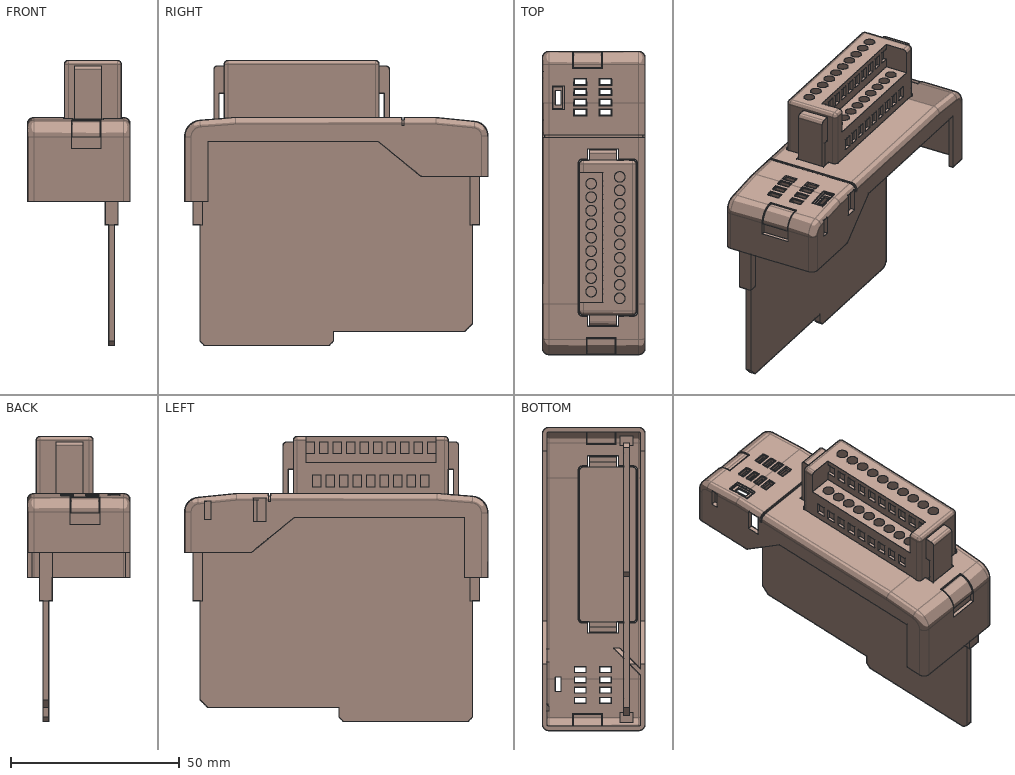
import cadquery as cq

HOUSING_WIDTH = 30.5
HOUSING_LENGTH = 90.0
ROOF_Z = 67.7
WALL = 1.35
FRONT_BOTTOM_Z = 42.75
REAR_BOTTOM_Z = 50.1
SIDE_BOTTOM_Z = 60.6
FRONT_END_LENGTH = 7.0
RAMP_START_Y = 57.4
RAMP_END_Y = 70.2
FRONT_SLOPE_Y = 15.0
REAR_SLOPE_Y = 74.6
FRONT_DROP = 1.2
REAR_DROP = 1.5
FRONT_RADIUS = 4.95
REAR_RADIUS = 4.3
EDGE_RADIUS = 2.0
OPENING_BOTTOM_Z = ROOF_Z - 2 * WALL

GROOVE_DEPTH = 0.7
GROOVE_Y = 64.8
GROOVE_WIDTH = 0.6
GROOVE_BOTTOM_Z = 65.25

NOTCH_WIDTH = 8.8
NOTCH_DEPTH = 1.1
NOTCH_BOTTOM_Z = 58.5
NOTCH_LENGTH = 5.1
FRONT_NOTCH_X = 13.05
REAR_NOTCH_X = 9.0
TAB_BOTTOM_Z = 61.9
TAB_SINK = 0.2
TAB_GAP = 0.3

WINDOW_COLUMNS_X = (11.25, 18.7)
WINDOW_ROWS = 4
WINDOW_SPAN = 9.1
WINDOW_PITCH = WINDOW_SPAN / (WINDOW_ROWS - 1)
WINDOW_ROWS_Y = 76.4
WINDOW_LENGTH = 3.3
WINDOW_HEIGHT = 1.6
WINDOW_CHAMFER = 0.3
CHAMFER_ANGLE = 45

RIM_DEPTH = 0.4
SWITCH_Y = 76.2
SWITCH_RIM_X = (3.0, 6.6)
SWITCH_RIM_LENGTH = 6.9
SWITCH_FLOOR_X = (3.2, 6.0)
SWITCH_FLOOR_LENGTH = 6.3
SWITCH_SLOT_X = (3.9, 5.5)
SWITCH_SLOT_LENGTH = 4.2

SIDE_SLOTS = ((65.8, 69.6, 59.4, 66.3), (82.1, 84.1, 59.9, 65.4))

WEB_X = 21.1
WEB_Y = 65.4
WEB_WIDTH = 1.9

BOARD_X = 24.1
BOARD_THICKNESS = 1.8
BOARD_FRONT_Y = 4.6
BOARD_REAR_Y = 85.4
BOARD_TOP_Z = 65.7
BOARD_STEP_Y = 44.2
BOARD_STEP_Z = 4.1
BOARD_CHAMFER = 1.35
BOARD_REAR_CHAMFER = 2.3

GUIDE_WIDTH = 3.9
GUIDE_LENGTH = 2.9
GUIDE_INSET = 2.5
GUIDE_BOTTOM_Z = 35.8

BLOCK_X = 11.0
BLOCK_WIDTH = 16.9
BLOCK_Y = 34.7
BLOCK_LENGTH = 46.0
BLOCK_TOP_Z = 84.6
BLOCK_RADIUS = 1.2
STEP_WIDTH = 6.9
STEP_LENGTH = 38.5
STEP_Z = 76.9
TERMINAL_DIAMETER = 3.15
TERMINAL_DEPTH = 4.5
LOWER_TERMINALS = 9
UPPER_TERMINALS = 10
UPPER_SPAN = 36.0
TERMINAL_PITCH = UPPER_SPAN / (UPPER_TERMINALS - 1)
LOWER_TERMINAL_X = 14.5
UPPER_TERMINAL_X = 22.95
WIRE_SLOT_WIDTH = 2.5
WIRE_SLOT_HEIGHT = 3.5
WIRE_SLOT_DEPTH = 0.9
LOWER_SLOT_DROP = 3.8
UPPER_SLOT_DROP = 1.6

CLIP_X = 13.95
CLIP_WIDTH = 8.1
CLIP_SPAN = 52.1
CLIP_THICKNESS = 1.6
CLIP_TOP_Z = 83.0
CLIP_ROOT_Z = 74.8
CLIP_RADIUS = 1.1

BLOCK_CLEARANCE = 0.3
CLIP_SIDE_CLEARANCE = 0.5
CLIP_END_CLEARANCE = 0.2


def box(x0, x1, y0, y1, z0, z1):
    """Box between two limits on each axis."""
    return cq.Workplane("XY").box(x1 - x0, y1 - y0, z1 - z0, centered=False).translate((x0, y0, z0))


def centred_y(x0, x1, middle_y, length, z0, z1):
    """Box with its Y extent given by a middle and a length."""
    return box(x0, x1, middle_y - length / 2, middle_y + length / 2, z0, z1)


def row_positions(middle, pitch, count):
    """Evenly spaced positions about a middle."""
    return [middle + (i - (count - 1) / 2) * pitch for i in range(count)]


def rounded_envelope(inset):
    """Rounded outside shape of the housing, reaching down to Z = 0, moved inwards by `inset`."""
    front = inset
    rear = HOUSING_LENGTH - inset
    top = ROOF_Z - inset
    body = (
        cq.Workplane("YZ", origin=(inset, 0, 0))
        .polyline([
            (front, 0),
            (front, top - FRONT_DROP),
            (FRONT_SLOPE_Y, top),
            (REAR_SLOPE_Y, top),
            (rear, top - REAR_DROP),
            (rear, 0),
        ])
        .close()
        .extrude(HOUSING_WIDTH - 2 * inset)
    )
    body = body.faces("<Y").edges(">Z").fillet(FRONT_RADIUS - inset)
    body = body.faces(">Y").edges(">Z").fillet(REAR_RADIUS - inset)
    return body.faces("<X or >X").edges("not <Z").fillet(EDGE_RADIUS - inset)


def lower_outline():
    """Space below the stepped lower edge of the housing."""
    return (
        cq.Workplane("YZ")
        .polyline([
            (0, 0),
            (0, FRONT_BOTTOM_Z),
            (FRONT_END_LENGTH, FRONT_BOTTOM_Z),
            (FRONT_END_LENGTH, SIDE_BOTTOM_Z),
            (RAMP_START_Y, SIDE_BOTTOM_Z),
            (RAMP_END_Y, REAR_BOTTOM_Z),
            (HOUSING_LENGTH, REAR_BOTTOM_Z),
            (HOUSING_LENGTH, 0),
        ])
        .close()
        .extrude(HOUSING_WIDTH)
    )


def diagonal_web():
    """Upright web at 45 degrees, from the roof groove to the +X wall."""
    reach = HOUSING_WIDTH - WALL / 2 - WEB_X
    return (
        cq.Workplane("XY")
        .polyline([
            (WEB_X, WEB_Y),
            (WEB_X + reach, WEB_Y + reach),
            (WEB_X + reach, WEB_Y + reach - WEB_WIDTH),
            (WEB_X + WEB_WIDTH, WEB_Y),
        ])
        .close()
        .extrude(ROOF_Z - WALL / 2)
    )


def board_guides():
    """Two legs under the roof that grip the front and rear edges of the board."""
    middle_x = BOARD_X + BOARD_THICKNESS / 2
    guides = cq.Workplane("XY")
    for start_y in (GUIDE_INSET, HOUSING_LENGTH - GUIDE_INSET - GUIDE_LENGTH):
        guides = guides.union(box(
            middle_x - GUIDE_WIDTH / 2, middle_x + GUIDE_WIDTH / 2,
            start_y, start_y + GUIDE_LENGTH,
            GUIDE_BOTTOM_Z, ROOF_Z,
        ))
    return guides


def skin(depth):
    """Outermost layer of the housing, of the given depth."""
    return rounded_envelope(0).cut(rounded_envelope(depth))


def roof_groove():
    """Groove across the roof that runs down over both rounded edges."""
    return skin(GROOVE_DEPTH).intersect(
        centred_y(0, HOUSING_WIDTH, GROOVE_Y, GROOVE_WIDTH, GROOVE_BOTTOM_Z, ROOF_Z)
    )


def end_regions(gap, bottom_z):
    """Boxes over the front and rear notch, narrowed by `gap` at the sides and at the roof end."""
    length = NOTCH_LENGTH - gap
    starts = ((FRONT_NOTCH_X, 0), (REAR_NOTCH_X, HOUSING_LENGTH - length))
    front, rear = [
        box(x + gap, x + NOTCH_WIDTH - gap, y, y + length, bottom_z, ROOF_Z) for x, y in starts
    ]
    return front.union(rear)


def end_notches():
    """Both end notches without the tabs that stay in them."""
    notches = skin(NOTCH_DEPTH).intersect(end_regions(0, NOTCH_BOTTOM_Z))
    tabs = rounded_envelope(TAB_SINK).intersect(end_regions(TAB_GAP, TAB_BOTTOM_Z))
    return notches.cut(tabs)


def roof_height(y):
    """Height of the roof on the flat middle and the rear slope."""
    slope = REAR_DROP / (HOUSING_LENGTH - REAR_SLOPE_Y)
    return ROOF_Z - slope * max(0, y - REAR_SLOPE_Y)


def window_cuts():
    """Grid of indicator windows with chamfered rims."""
    rim_length = WINDOW_LENGTH + 2 * WINDOW_CHAMFER
    rim_height = WINDOW_HEIGHT + 2 * WINDOW_CHAMFER
    cuts = []
    for x in WINDOW_COLUMNS_X:
        for y in row_positions(WINDOW_ROWS_Y, WINDOW_PITCH, WINDOW_ROWS):
            cuts.append(
                cq.Workplane("XY", origin=(x, y, roof_height(y)))
                .rect(rim_length, rim_height)
                .extrude(-WINDOW_CHAMFER, taper=CHAMFER_ANGLE)
            )
            cuts.append(centred_y(
                x - WINDOW_LENGTH / 2, x + WINDOW_LENGTH / 2, y, WINDOW_HEIGHT, OPENING_BOTTOM_Z, ROOF_Z
            ))
    return cuts


def switch_cuts():
    """Stepped recess and slot for the switch."""
    rim = centred_y(*SWITCH_RIM_X, SWITCH_Y, SWITCH_RIM_LENGTH, OPENING_BOTTOM_Z, ROOF_Z)
    floor = centred_y(*SWITCH_FLOOR_X, SWITCH_Y, SWITCH_FLOOR_LENGTH, OPENING_BOTTOM_Z, ROOF_Z)
    slot = centred_y(*SWITCH_SLOT_X, SWITCH_Y, SWITCH_SLOT_LENGTH, OPENING_BOTTOM_Z, ROOF_Z)
    return [rim.intersect(skin(RIM_DEPTH)), floor.intersect(skin(2 * RIM_DEPTH)), slot]


def side_slot_cuts():
    """Upright slots through the -X wall."""
    return [box(0, EDGE_RADIUS, *limits) for limits in SIDE_SLOTS]


def block_opening():
    """Roof opening for the terminal block and its clips."""
    for_block = centred_y(
        BLOCK_X - BLOCK_CLEARANCE, BLOCK_X + BLOCK_WIDTH + BLOCK_CLEARANCE,
        BLOCK_Y, BLOCK_LENGTH + 2 * BLOCK_CLEARANCE, OPENING_BOTTOM_Z, ROOF_Z,
    ).edges("|Z").fillet(BLOCK_RADIUS)
    for_clips = centred_y(
        CLIP_X - CLIP_SIDE_CLEARANCE, CLIP_X + CLIP_WIDTH + CLIP_SIDE_CLEARANCE,
        BLOCK_Y, CLIP_SPAN + 2 * CLIP_END_CLEARANCE, OPENING_BOTTOM_Z, ROOF_Z,
    )
    return for_block.union(for_clips)


def make_housing(board):
    """Hollow housing, open below, with room for the board."""
    envelope = rounded_envelope(0)
    housing = envelope.cut(rounded_envelope(WALL)).union(diagonal_web()).cut(lower_outline())
    housing = housing.union(board_guides().intersect(envelope))
    for cut in [roof_groove(), end_notches()] + window_cuts() + switch_cuts() + side_slot_cuts():
        housing = housing.cut(cut)
    return housing.cut(block_opening()).cut(board)


def make_board():
    """Flat board with one deeper half and chamfered lower corners."""
    return (
        cq.Workplane("YZ", origin=(BOARD_X, 0, 0))
        .polyline([
            (BOARD_FRONT_Y, BOARD_TOP_Z),
            (BOARD_FRONT_Y, BOARD_CHAMFER),
            (BOARD_FRONT_Y + BOARD_CHAMFER, 0),
            (BOARD_STEP_Y - BOARD_CHAMFER, 0),
            (BOARD_STEP_Y, BOARD_CHAMFER),
            (BOARD_STEP_Y, BOARD_STEP_Z),
            (BOARD_REAR_Y - BOARD_REAR_CHAMFER, BOARD_STEP_Z),
            (BOARD_REAR_Y, BOARD_STEP_Z + BOARD_REAR_CHAMFER),
            (BOARD_REAR_Y, BOARD_TOP_Z),
        ])
        .close()
        .extrude(BOARD_THICKNESS)
    )


def block_body():
    """Rounded block standing on the board."""
    body = centred_y(BLOCK_X, BLOCK_X + BLOCK_WIDTH, BLOCK_Y, BLOCK_LENGTH, BOARD_TOP_Z, BLOCK_TOP_Z)
    return body.edges("|Z or >Z").fillet(BLOCK_RADIUS)


def terrace_cut():
    """Space above the lower terrace along the -X side."""
    return centred_y(BLOCK_X, BLOCK_X + STEP_WIDTH, BLOCK_Y, STEP_LENGTH, STEP_Z, BLOCK_TOP_Z)


def terminal_row_cuts(count, hole_x, hole_top_z, wall_x, slot_top_z):
    """Row of screw holes from above, each with a wire slot in the -X face beside it."""
    cuts = []
    for y in row_positions(BLOCK_Y, TERMINAL_PITCH, count):
        cuts.append(
            cq.Workplane("XY", origin=(hole_x, y, hole_top_z))
            .circle(TERMINAL_DIAMETER / 2)
            .extrude(-TERMINAL_DEPTH)
        )
        cuts.append(centred_y(
            wall_x, wall_x + WIRE_SLOT_DEPTH, y, WIRE_SLOT_WIDTH, slot_top_z - WIRE_SLOT_HEIGHT, slot_top_z
        ))
    return cuts


def clips():
    """Latch arms at both ends, joined to the block at the top and free below."""
    arms = centred_y(CLIP_X, CLIP_X + CLIP_WIDTH, BLOCK_Y, CLIP_SPAN, BOARD_TOP_Z, CLIP_TOP_Z)
    arms = arms.edges(">Z and |X").fillet(CLIP_RADIUS)
    inner_span = CLIP_SPAN - 2 * CLIP_THICKNESS
    return arms.cut(centred_y(
        CLIP_X, CLIP_X + CLIP_WIDTH, BLOCK_Y, inner_span, BOARD_TOP_Z, CLIP_ROOT_Z
    ))


def make_terminal_block():
    """Terminal block with its two clips, wire slots and screw holes."""
    block = block_body().union(clips()).cut(terrace_cut())
    lower_row = terminal_row_cuts(
        LOWER_TERMINALS, LOWER_TERMINAL_X, STEP_Z, BLOCK_X, STEP_Z - LOWER_SLOT_DROP
    )
    upper_row = terminal_row_cuts(
        UPPER_TERMINALS, UPPER_TERMINAL_X, BLOCK_TOP_Z, BLOCK_X + STEP_WIDTH, BLOCK_TOP_Z - UPPER_SLOT_DROP
    )
    for cut in lower_row + upper_row:
        block = block.cut(cut)
    return block


board = make_board()
housing = make_housing(board)
terminal_block = make_terminal_block()

result = cq.Compound.makeCompound([housing.solids().val(), board.val(), terminal_block.solids().val()])